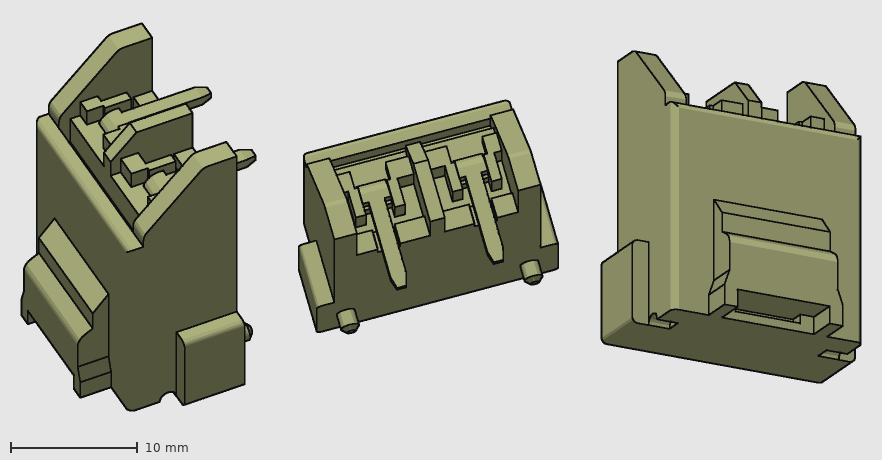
import cadquery as cq
import math


total_width = 19.8
height = 24.0
body_width = 16.9
cheek_thickness = 1.85
cheek_front = -8.2
cheek_slope_start = -2.9
cheek_corner_radius = 1.0
inner_width = body_width - 2 * cheek_thickness

plate_front = -9.48
plate_top = 17.6
plate_edge_radius = 0.55
gap_depth = 1.92

deck_top = 18.2
deck_front = -7.22
pocket_back = -1.65
pocket_front = -4.8
pocket_depth = 1.2
pocket_shelf_back = -3.38
rib_width = 1.2
rib_top = 21.95

contact_spacing = 7.92
guide_top = 19.65
guide_front = -6.34
guide_recess_back = -4.9
guide_recess_half_width = 1.46
arm_back = -2.57
arm_thickness = 0.85

contact_width = 2.35
contact_top = 19.13
contact_back = -3.67
contact_bend_start = -4.13
contact_bend_radius = 1.37
pin_width = 1.3
pin_thickness = 0.82
pin_end = 3.7
pin_taper_length = 0.9
pin_tip_width = 0.77
pin_tip_thickness = 0.48
pin_slot_width = 1.82
pin_slot_depth = 0.72

wing_depth = 5.3
wing_height = 7.0
wing_edge_radius = 0.5
peg_spacing = 15.02
peg_radius = 0.75
peg_length = 1.65
peg_chamfer = 0.38
peg_height = 3.5
notch_radius = 0.72
notch_y = -6.05

pad_front = -12.2
pad_step_y = -10.87
pad_top = 9.82
pad_step_top = 8.28
pad_step_bottom = 6.65
pad_nose_angle = 30.0
pad_nose_radius = 1.08
pad_width = 9.6
pad_foot_width = 10.5
pad_foot_top = 1.7
pad_flare_top = 3.0
pad_notch_width = 8.15
pad_notch_height = 1.46
window_width = 5.75
window_bottom = 0.72


def block(x_range, y_range, z_range):
    """Axis-aligned box between the given limits."""
    (x0, x1), (y0, y1), (z0, z1) = x_range, y_range, z_range
    return cq.Workplane("XY").box(x1 - x0, y1 - y0, z1 - z0, centered=False).translate((x0, y0, z0))


def centred(width, middle=0.0):
    """Limits of a width about a middle position."""
    return (middle - width / 2, middle + width / 2)


def side_extrusion(points, width):
    """Prism of a (y, z) outline, centred on x = 0."""
    return cq.Workplane("YZ").polyline(points).close().extrude(width / 2, both=True)


def slope_z(y):
    """Height of the 45 degree slope shared by the cheeks and the centre rib."""
    return height + (y - cheek_slope_start)


def make_cheeks():
    outline = [
        (0, 0),
        (cheek_front, 0),
        (cheek_front, slope_z(cheek_front)),
        (cheek_slope_start, height),
        (0, height),
    ]
    walls = side_extrusion(outline, body_width)
    for y in (cheek_slope_start, cheek_front):
        corner = cq.selectors.NearestToPointSelector((0, y, slope_z(y)))
        walls = walls.edges("|X").edges(corner).fillet(cheek_corner_radius)
    return walls.cut(block(centred(inner_width), (cheek_front, 0), (deck_top, height)))


def make_plate():
    plate = block(centred(body_width), (plate_front, cheek_front), (0, plate_top))
    return plate.faces("<Y").edges("not <Z").fillet(plate_edge_radius)


def make_rib():
    rib_slope_start = cheek_slope_start - (height - rib_top)
    outline = [
        (0, 0),
        (deck_front, 0),
        (deck_front, slope_z(deck_front)),
        (rib_slope_start, rib_top),
        (0, rib_top),
    ]
    return side_extrusion(outline, rib_width)


def bay_limits(middle):
    """X limits of the bay between the rib and the cheek on the side of one contact."""
    if middle < 0:
        return (-inner_width / 2, -rib_width / 2)
    return (rib_width / 2, inner_width / 2)


def cut_deck_pocket(body, middle):
    """Sink the deck behind and beside one pair of guides, leaving the contact shelf."""
    floor = deck_top - pocket_depth
    bay = bay_limits(middle)
    pocket = block(bay, (pocket_front, pocket_back), (floor, deck_top))
    shelf = block(centred(contact_width, middle), (pocket_front, pocket_shelf_back), (floor, deck_top))
    slot = block(centred(pin_slot_width, middle), (pocket_back, 0), (deck_top - pin_slot_depth, deck_top))
    return body.cut(pocket.cut(shelf)).cut(slot)


def make_guides(middle):
    """Two L-shaped guides standing on either side of one contact."""
    floor = deck_top - pocket_depth
    bay = bay_limits(middle)
    arms_width = contact_width + 2 * arm_thickness
    blocks = block(bay, (guide_front, pocket_front), (floor, guide_top))
    arms = block(centred(arms_width, middle), (pocket_front, arm_back), (floor, guide_top))
    channel = block(centred(contact_width, middle), (guide_front, arm_back), (floor, guide_top))
    recess = block(
        centred(2 * guide_recess_half_width, middle), (guide_front, guide_recess_back), (floor, guide_top)
    )
    return blocks.union(arms).cut(channel).cut(recess)


def make_contact(middle):
    """Contact head bending down into the deck, with a tapered pin out of the back."""
    bend_centre = (contact_bend_start, contact_top - contact_bend_radius)
    diagonal = contact_bend_radius * math.sqrt(0.5)
    head = (
        cq.Workplane("YZ")
        .moveTo(contact_back, bend_centre[1])
        .lineTo(contact_back, contact_top)
        .lineTo(contact_bend_start, contact_top)
        .threePointArc(
            (bend_centre[0] - diagonal, bend_centre[1] + diagonal),
            (bend_centre[0] - contact_bend_radius, bend_centre[1]),
        )
        .close()
        .extrude(contact_width / 2, both=True)
        .translate((middle, 0, 0))
    )
    taper_start = pin_end - pin_taper_length
    shank = block(
        centred(pin_width, middle),
        (contact_back, taper_start),
        (contact_top - pin_thickness, contact_top),
    )
    tip = (
        cq.Workplane("XZ", origin=(middle, taper_start, contact_top - pin_thickness / 2))
        .rect(pin_width, pin_thickness)
        .workplane(offset=-pin_taper_length)
        .rect(pin_tip_width, pin_tip_thickness)
        .loft()
    )
    return head.union(shank).union(tip)


def make_wings():
    wings = block(centred(total_width), (-wing_depth, 0), (0, wing_height))
    return wings.edges("|Y").fillet(wing_edge_radius)


def make_peg(x):
    peg = cq.Workplane("XZ", origin=(x, 0, peg_height)).circle(peg_radius).extrude(-peg_length)
    return peg.faces(">Y").chamfer(peg_chamfer)


def make_side_notch(side):
    """Half-round notch in the bottom edge of one cheek; side is -1 or +1."""
    middle = side * (body_width - cheek_thickness) / 2
    cutter = cq.Workplane("YZ").circle(notch_radius).extrude(cheek_thickness / 2, both=True)
    return cutter.translate((middle, notch_y, 0))


def make_pad():
    """Stepped latch pad with a flared foot."""
    nose_z = pad_step_bottom - (pad_step_y - pad_front) * math.tan(math.radians(pad_nose_angle))
    profile = [
        (cheek_front, 0),
        (pad_front, 0),
        (pad_front, nose_z),
        (pad_step_y, pad_step_bottom),
        (pad_step_y, pad_step_top),
        (plate_front, pad_top),
        (cheek_front, pad_top),
    ]
    body = side_extrusion(profile, pad_foot_width)
    nose = cq.selectors.NearestToPointSelector((0, pad_front, nose_z))
    body = body.edges("|X").edges(nose).fillet(pad_nose_radius)
    half_foot = pad_foot_width / 2
    half_pad = pad_width / 2
    front_outline = (
        cq.Workplane("XZ")
        .polyline([
            (-half_foot, 0),
            (half_foot, 0),
            (half_foot, pad_foot_top),
            (half_pad, pad_flare_top),
            (half_pad, pad_top),
            (-half_pad, pad_top),
            (-half_pad, pad_flare_top),
            (-half_foot, pad_foot_top),
        ])
        .close()
        .extrude(-pad_front)
    )
    return body.intersect(front_outline)


contact_positions = [-contact_spacing / 2, contact_spacing / 2]

result = make_cheeks().union(make_plate())
gap = block(centred(inner_width), (cheek_front, deck_front), (plate_top - gap_depth, deck_top))
result = result.cut(gap).union(make_rib()).union(make_wings())

for x in contact_positions:
    result = cut_deck_pocket(result, x)
    result = result.union(make_guides(x)).union(make_contact(x))

for side in (-1, 1):
    result = result.union(make_peg(side * peg_spacing / 2)).cut(make_side_notch(side))

result = result.union(make_pad())
pad_notch = block(centred(pad_notch_width), (pad_front, plate_front), (0, pad_notch_height))
window = block(centred(window_width), (plate_front, cheek_front), (window_bottom, pad_notch_height))
result = result.cut(pad_notch).cut(window)